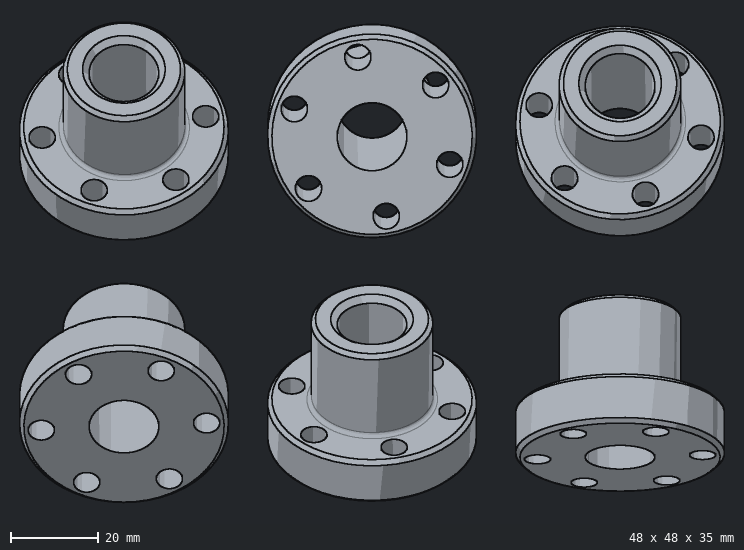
import cadquery as cq

flange_diameter = 48.0
flange_height = 12.0
total_height = 35.0
sleeve_diameter = 28.0
bore_diameter = 16.0

edge_chamfer = 1.0
bore_chamfer = 1.5
root_fillet = 1.0
selection_margin = 0.5

bolt_hole_count = 6
bolt_hole_diameter = 6.0
bolt_circle_diameter = 38.0
first_hole_angle = 90.0


def make_flange():
    """Round flange with both rims chamfered."""
    flange = cq.Workplane("XY").circle(flange_diameter / 2).extrude(flange_height)
    return flange.faces("<Z or >Z").edges().chamfer(edge_chamfer)


def make_sleeve():
    """Cylinder standing through the flange, with its top rim chamfered."""
    sleeve = cq.Workplane("XY").circle(sleeve_diameter / 2).extrude(total_height)
    return sleeve.faces(">Z").edges().chamfer(edge_chamfer)


def round_sleeve_root(body):
    """Fillet the corner where the sleeve meets the flange."""
    reach = sleeve_diameter / 2 + selection_margin
    root_edges = cq.selectors.BoxSelector(
        (-reach, -reach, flange_height - selection_margin),
        (reach, reach, flange_height + selection_margin),
        boundingbox=True,
    )
    return body.edges(root_edges).fillet(root_fillet)


def cut_bore(body):
    """Through bore with a chamfered mouth at the top."""
    bore = cq.Workplane("XY").circle(bore_diameter / 2).extrude(total_height)
    body = body.cut(bore)
    return body.faces(">Z").edges(cq.selectors.RadiusNthSelector(0)).chamfer(bore_chamfer)


def cut_bolt_holes(body):
    """Evenly spaced through holes in the flange."""
    holes = (
        cq.Workplane("XY")
        .polarArray(bolt_circle_diameter / 2, first_hole_angle, 360, bolt_hole_count)
        .circle(bolt_hole_diameter / 2)
        .extrude(flange_height)
    )
    return body.cut(holes)


body = make_flange().union(make_sleeve())
body = round_sleeve_root(body)
body = cut_bore(body)
result = cut_bolt_holes(body)